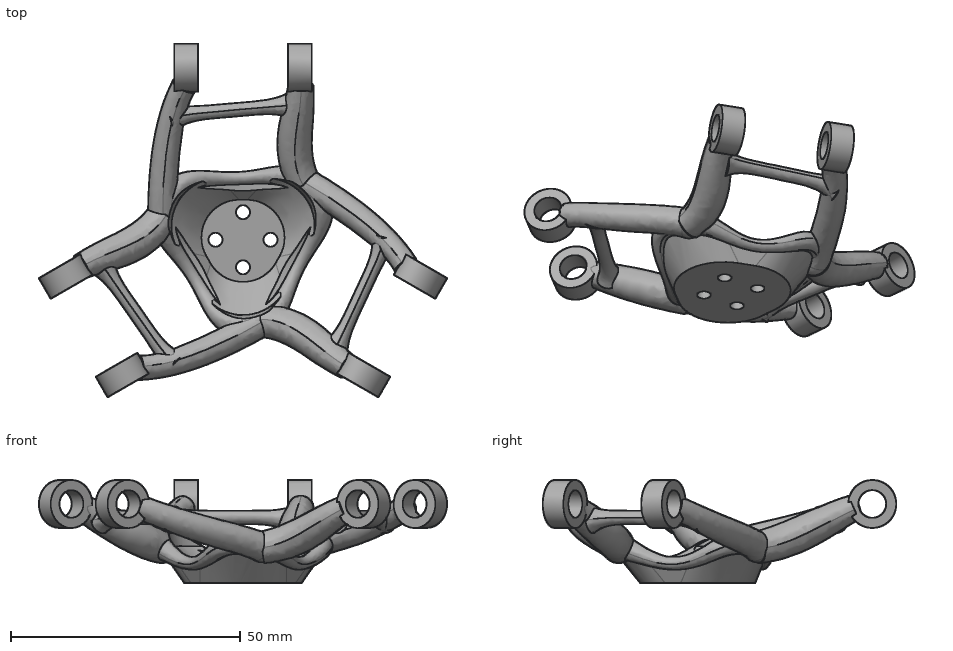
import cadquery as cq
import math


sector_count = 3
full_turn = 360
sector_angle = full_turn / sector_count

eye_diameter = 10.5
eye_bore = 6.0
eye_width = 5.2
eye_outer_face = 15.0
eye_radius_from_axis = 37.5
total_height = 22.5
eye_height = total_height - eye_diameter / 2
eye_offset = eye_outer_face - eye_width / 2

bolt_hole_diameter = 3.0
bolt_circle_diameter = 12.0
bolt_count = 4

floor_thickness = 2.0
bowl_height = 8.0
mouth_height = 12.0
first_corner_angle = 30.0
bowl_outer_bottom = (12.0, 10.9)
bowl_outer_top = (15.2, 10.8)
bowl_inner_bottom = (8.7, 8.2)
bowl_inner_top = (13.4, 10.4)
bowl_mouth = (14.2, 11.0)
rim_low_height = 4.5
scoop_radius = 19.0
scoop_inner_end = 5.0
scoop_outer_end = 30.0

node_radius = 3.3
node = (13.3, 12.5, 7.8)


def rotate_about_z(point, degrees):
    """Turn a point about the Z axis."""
    angle = math.radians(degrees)
    x, y, z = point
    turned_x = x * math.cos(angle) - y * math.sin(angle)
    turned_y = x * math.sin(angle) + y * math.cos(angle)
    return (turned_x, turned_y, z)


next_node = rotate_about_z(node, sector_angle)

curved_leg_stations = [
    (next_node, node_radius),
    ((-17.4, 12.5, 9.9), 3.1),
    ((-16.7, 20.0, 11.8), 3.0),
    ((-15.7, 25.8, 13.6), 2.8),
    ((-12.9, 33.5, 16.5), 2.7),
]
straight_leg_stations = [
    (node, 3.5),
    ((11.3, 19.5, 9.8), 3.8),
    ((11.7, 26.0, 12.8), 3.6),
    ((12.6, 33.5, 16.5), 2.8),
]
bridge_stations = [
    ((-15.5, 26.6, 13.8), 3.0),
    ((-11.2, 27.4, 14.2), 1.7),
    ((-2.0, 28.3, 14.3), 1.5),
    ((6.2, 29.0, 14.2), 1.7),
    ((10.5, 29.3, 13.8), 3.0),
]
rim_stations = [
    (node, 3.1),
    ((6.5, 14.0, 6.0), 1.9),
    ((-1.5, 13.4, 4.3), 1.4),
    ((-10.0, 13.2, 6.6), 1.9),
    (next_node, 3.1),
]


def tube(stations):
    """Smooth tube of varying radius whose axis passes through the stations."""
    centres = [cq.Vector(*centre) for centre, _ in stations]
    axis = cq.Edge.makeSpline(centres)
    sections = []
    for centre, (_, radius) in zip(centres, stations):
        tangent = axis.tangentAt(axis.paramAt(centre), mode="parameter")
        sections.append(cq.Wire.makeCircle(radius, centre, tangent))
    return cq.Workplane(cq.Solid.makeLoft(sections))


def rounded_triangle(height, side_distance, corner_radius):
    """Triangle with rounded corners and one flat side facing +Y."""
    corner_distance = 2 * (side_distance - corner_radius)
    half_side = corner_distance * math.cos(math.radians(first_corner_angle))
    start = (-half_side, side_distance, 0)
    side_end = (half_side, side_distance, 0)
    corner_tip = rotate_about_z((corner_distance + corner_radius, 0, 0), first_corner_angle)
    outline = cq.Workplane("XY", origin=(0, 0, height)).moveTo(*start[:2])
    for index in range(sector_count):
        turn = -index * sector_angle
        side_finish = rotate_about_z(side_end, turn)
        tip = rotate_about_z(corner_tip, turn)
        next_start = rotate_about_z(start, turn - sector_angle)
        outline = outline.lineTo(*side_finish[:2]).threePointArc(tip[:2], next_start[:2])
    return outline.wire().val()


def flared_body(bottom_height, bottom, top_height, top):
    """Straight-walled loft between two rounded triangles."""
    lower = rounded_triangle(bottom_height, *bottom)
    upper = rounded_triangle(top_height, *top)
    return cq.Workplane(cq.Solid.makeLoft([lower, upper], True))


def around_axis(body):
    """The three copies of a body, one per sector."""
    return [body.rotate((0, 0, 0), (0, 0, 1), i * sector_angle) for i in range(sector_count)]


def eye_cylinder(diameter, side):
    """Cylinder filling one eye position, with its axis along X."""
    start = side * eye_offset - eye_width / 2
    side_face = cq.Workplane("YZ", origin=(start, eye_radius_from_axis, eye_height))
    return side_face.circle(diameter / 2).extrude(eye_width)


def make_bowl():
    """Hub bowl with a rim that dips between the nodes."""
    bowl = flared_body(0, bowl_outer_bottom, bowl_height, bowl_outer_top)
    scoop = (
        cq.Workplane("XZ", origin=(0, scoop_outer_end, rim_low_height + scoop_radius))
        .circle(scoop_radius)
        .extrude(scoop_outer_end - scoop_inner_end)
    )
    for cutter in around_axis(scoop):
        bowl = bowl.cut(cutter)
    return bowl


def make_sector():
    """One pair of legs with its bridge, rim, node and eyes."""
    sector = cq.Workplane("XY").sphere(node_radius).translate(node)
    for stations in (curved_leg_stations, straight_leg_stations, bridge_stations, rim_stations):
        sector = sector.union(tube(stations))
    for side in (-1, 1):
        sector = sector.union(eye_cylinder(eye_diameter, side))
    for side in (-1, 1):
        sector = sector.cut(eye_cylinder(eye_bore, side))
    return sector


def make_bolt_holes():
    """Four through holes in the hub floor."""
    return (
        cq.Workplane("XY")
        .polarArray(bolt_circle_diameter / 2, 0, full_turn, bolt_count)
        .circle(bolt_hole_diameter / 2)
        .extrude(bowl_height)
    )


def make_bowl_cavity():
    """Space inside the bowl: flared above the floor and wider still between the nodes."""
    cavity = flared_body(floor_thickness, bowl_inner_bottom, bowl_height, bowl_inner_top)
    return cavity.union(flared_body(bowl_height, bowl_inner_top, mouth_height, bowl_mouth))


result = make_bowl()
for sector in around_axis(make_sector()):
    result = result.union(sector)
result = result.cut(make_bowl_cavity())
result = result.cut(make_bolt_holes())